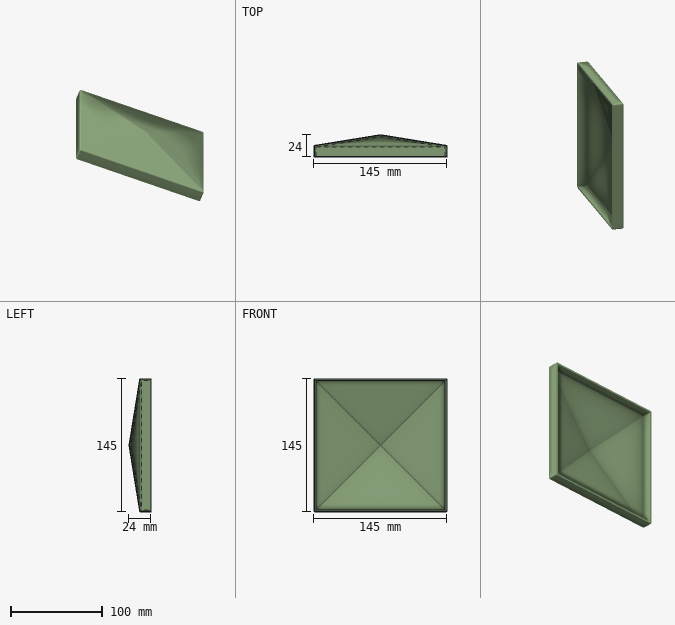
import cadquery as cq

outer_width = 145.0
total_depth = 24.0
rim_depth = 12.25
wall = 2.0
edge_radius = 1.5

front_y = -total_depth / 2
inner_width = outer_width - 2 * wall
roof_height = total_depth - rim_depth
roof_slope = roof_height / (outer_width / 2)

roof_thickness = 2.0
cavity_apex_depth = total_depth - roof_thickness
cavity_wall_depth = cavity_apex_depth - roof_slope * inner_width / 2


def square_block(width, depth):
    """Square block in XZ, starting at the open face and running toward +Y."""
    return cq.Workplane("XY").box(width, depth, width).translate((0, front_y + depth / 2, 0))


def pyramid(width, base_depth, apex_depth):
    """Square pyramid with its base and apex at the given depths from the open face."""
    half = width / 2
    base_y = front_y + base_depth
    apex = cq.Vector(0, front_y + apex_depth, 0)
    corner_signs = ((-1, -1), (1, -1), (1, 1), (-1, 1))
    corners = [cq.Vector(x * half, base_y, z * half) for x, z in corner_signs]
    outlines = [corners]
    for start, end in zip(corners, corners[1:] + corners[:1]):
        outlines.append([start, end, apex])
    faces = [cq.Face.makeFromWires(cq.Wire.makePolygon(points, close=True)) for points in outlines]
    return cq.Workplane(obj=cq.Solid.makeSolid(cq.Shell.makeShell(faces)))


def outer_body():
    """Rim block under a pyramid roof, with its corners and eaves rounded."""
    body = square_block(outer_width, rim_depth).union(pyramid(outer_width, rim_depth, total_depth))
    rim_corners = body.edges("|Y").vals()
    eaves = body.edges("#Y").edges(">Y").vals()
    return body.newObject(rim_corners + eaves).fillet(edge_radius)


def cavity():
    """Square pocket ending in a pyramid-shaped ceiling."""
    pocket = square_block(inner_width, cavity_wall_depth)
    return pocket.union(pyramid(inner_width, cavity_wall_depth, cavity_apex_depth))


result = outer_body().cut(cavity())